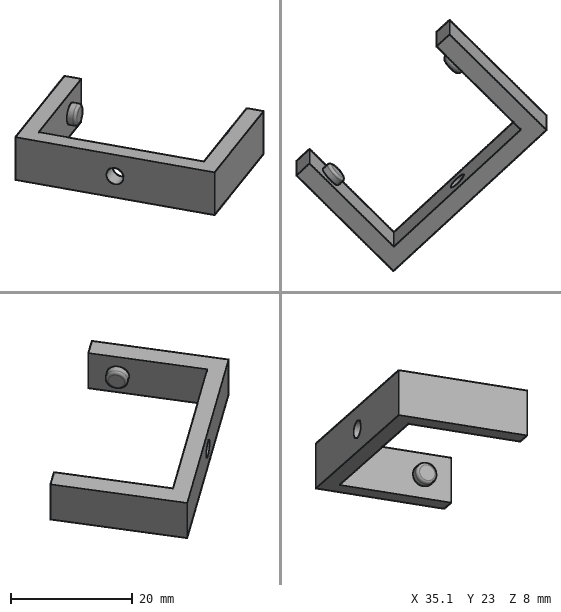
import cadquery as cq

width = 35.1
depth = 23.0
height = 8.0
wall = 3.0
inner_width = width - 2 * wall

hole_diameter = 3.0

pin_diameter = 3.75
pin_tip_gap = 26.0
pin_length = (inner_width - pin_tip_gap) / 2
pin_from_arm_end = 5.0
pin_edge_fillet = 0.5


def bracket_body():
    """Web along X with two arms reaching toward +Y."""
    outer = cq.Workplane("XY").box(width, depth, height, centered=(True, False, True))
    opening = (
        cq.Workplane("XY")
        .box(inner_width, depth - wall, height, centered=(True, False, True))
        .translate((0, wall, 0))
    )
    return outer.cut(opening)


def web_hole():
    """Cylinder that pierces the web along Y."""
    return cq.Workplane("XZ").circle(hole_diameter / 2).extrude(-wall)


def pivot_pin(side):
    """Pin with a rounded tip; side is -1 for the -X arm and +1 for the +X arm."""
    pin = (
        cq.Workplane("YZ", origin=(side * inner_width / 2, depth - pin_from_arm_end, 0))
        .circle(pin_diameter / 2)
        .extrude(-side * pin_length)
    )
    tip = "<X" if side > 0 else ">X"
    return pin.faces(tip).edges().fillet(pin_edge_fillet)


result = bracket_body().cut(web_hole())
for arm_side in (-1, 1):
    result = result.union(pivot_pin(arm_side))